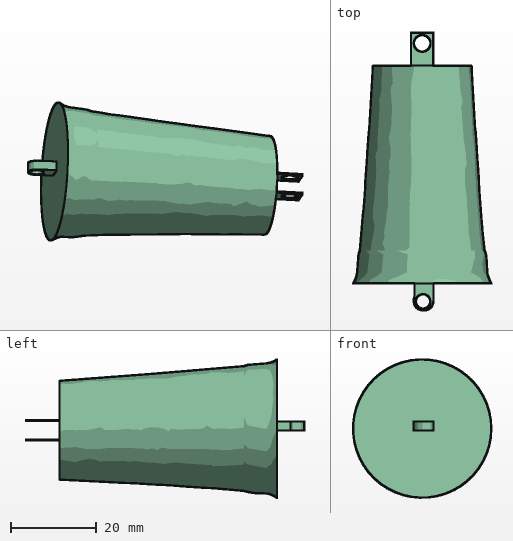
import cadquery as cq

overall_length = 64.85
lug_reach = 6.35
tab_reach = 7.7
body_length = overall_length - lug_reach - tab_reach

mouth_radius = 16.15
tail_radius = 11.55
tail_fillet = 0.3
tail_drop = 0.4
drop_exponent = 1.5
lip_radius = 14.6
lip_length = 7.65
lip_points = [(15.55, 1.05), (15.2, 3.0)]
barrel_radii = [lip_radius, 13.4, 12.45, tail_radius]

lug_round_radius = 2.35
lug_x = 0.3
lug_left = -1.8
lug_right = lug_x + lug_round_radius
lug_thickness = 2.15
lug_z = 0.6
lug_round_y = lug_round_radius - lug_reach
lug_hole_diameter = 3.3
lug_hole_x = 0.2
lug_hole_y = -4.2

tab_width = 5.25
tab_thickness = 0.3
tab_levels = (1.9, -2.65)
tab_hole_diameter = 3.8
tab_hole_inset = 2.5

embed = 0.65


def axis_drop(distance):
    """Height of the section centre, falling smoothly from the lip to the narrow face."""
    fraction = (distance - lip_length) / (body_length - lip_length)
    return -tail_drop * fraction**drop_exponent


def make_body():
    """Join the revolved lip to a lofted barrel and soften the narrow rim."""
    lip = (
        cq.Workplane("XY")
        .lineTo(mouth_radius, 0)
        .spline(lip_points + [(lip_radius, lip_length)], includeCurrent=True)
        .lineTo(0, lip_length)
        .close()
        .revolve(360, (0, 0, 0), (0, 1, 0))
    )
    barrel_step = (body_length - lip_length) / (len(barrel_radii) - 1)
    sections = []
    for index, radius in enumerate(barrel_radii):
        distance = lip_length + index * barrel_step
        center = cq.Vector(0, distance, axis_drop(distance))
        sections.append(cq.Wire.makeCircle(radius, center, cq.Vector(0, 1, 0)))
    barrel = cq.Workplane("XY").add(cq.Solid.makeLoft(sections))
    return lip.union(barrel.faces(">Y").edges().fillet(tail_fillet))


def make_lug():
    """Flat shank ending in a round eye."""
    plane = cq.Workplane("XY", origin=(0, 0, lug_z - lug_thickness / 2))
    shank_width = lug_right - lug_left
    shank_length = embed - lug_round_y
    shank = (
        plane.center(lug_left, lug_round_y)
        .rect(shank_width, shank_length, centered=False)
        .extrude(lug_thickness)
    )
    eye = plane.center(lug_x, lug_round_y).circle(lug_round_radius).extrude(lug_thickness)
    hole = plane.center(lug_hole_x, lug_hole_y).circle(lug_hole_diameter / 2).extrude(lug_thickness)
    return shank.union(eye).cut(hole)


def make_tab(level):
    """Rectangular tab with a round hole near its free end."""
    tab_end = body_length + tab_reach
    tab_length = tab_reach + embed
    plane = cq.Workplane("XY", origin=(0, 0, level - tab_thickness / 2))
    tab = plane.center(0, tab_end - tab_length / 2).rect(tab_width, tab_length).extrude(tab_thickness)
    hole = plane.center(0, tab_end - tab_hole_inset).circle(tab_hole_diameter / 2).extrude(tab_thickness)
    return tab.cut(hole)


result = make_body().union(make_lug())
for tab_level in tab_levels:
    result = result.union(make_tab(tab_level))